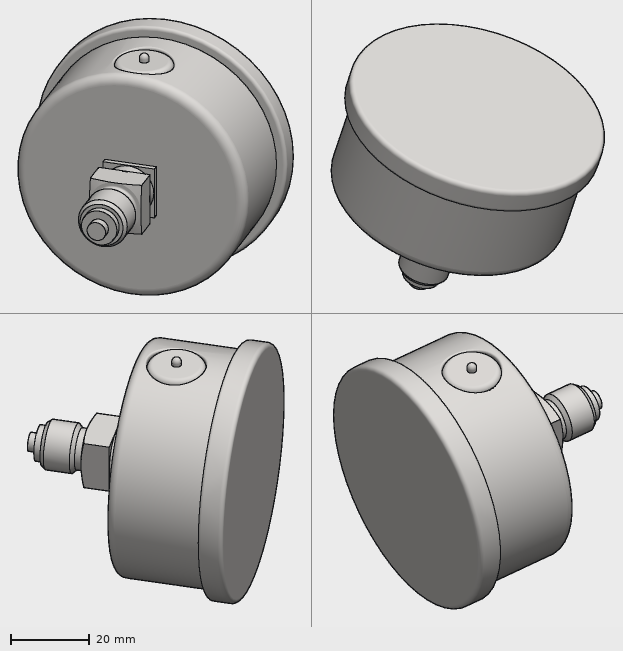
import cadquery as cq
import math


bezel_diameter = 67.4
bezel_front_y = 31.25
bezel_width = 6.55
bezel_front_fillet = 1.2
bezel_back_fillet = 0.95
case_diameter = 62.0
case_fillet = 2.5

plug_y = 11.0
plug_diameter = 15.2
plug_top_z = 30.8
plug_fillet = 1.5
plug_seat_depth = 2.7
plug_rim_fillet = 0.5
plug_pin_diameter = 2.5
plug_pin_top_z = 32.9
plug_foot_depth = 0.7
rim_margin = 0.2

square_side = 13.8
plate_end = 1.5
neck_diameter = 13.5
square_start = 5.0
square_end = 12.45
square_face_diameter = 13.75
square_chamfer_slope = 0.27
undercut_diameter = 11.0
undercut_fillet = 0.55
undercut_end = 14.5
thread_diameter = 13.15
thread_back_chamfer = 1.1
thread_end_chamfer_length = 1.1
thread_end_chamfer_depth = 0.8
thread_end = 23.45
spigot_diameter = 9.5
spigot_end = 25.3
tip_diameter = 5.0
tip_end = 27.55


def back_plane(distance):
    """Workplane facing -Y at a distance behind the case."""
    return cq.Workplane("XZ", origin=(0, -distance, 0))


def cylinder(diameter, start, end):
    return back_plane(start).circle(diameter / 2).extrude(end - start)


def square_block(start, end):
    return back_plane(start).rect(square_side, square_side).extrude(end - start)


def plug_cylinder(diameter, bottom_z, top_z):
    """Upright cylinder on the axis of the relief plug."""
    base = cq.Workplane("XY", origin=(0, plug_y, bottom_z))
    return base.circle(diameter / 2).extrude(top_z - bottom_z)


def make_housing():
    bezel_back_y = bezel_front_y - bezel_width
    bezel = cylinder(bezel_diameter, -bezel_front_y, -bezel_back_y)
    bezel = bezel.faces(">Y").edges().fillet(bezel_front_fillet)
    bezel = bezel.faces("<Y").edges().fillet(bezel_back_fillet)
    case = cylinder(case_diameter, -bezel_front_y + bezel_width / 2, 0)
    case = case.faces("<Y").edges().fillet(case_fillet)
    return bezel.union(case)


def add_plug(housing):
    seat_z = case_diameter / 2 - plug_seat_depth
    hole = plug_cylinder(plug_diameter, seat_z, bezel_diameter / 2)
    rim_zone = cq.selectors.BoxSelector(
        (-plug_diameter, plug_y - plug_diameter / 2 - rim_margin, seat_z + rim_margin),
        (plug_diameter, plug_y + plug_diameter / 2 + rim_margin, case_diameter / 2 + rim_margin),
        boundingbox=True,
    )
    housing = housing.cut(hole).edges(rim_zone).fillet(plug_rim_fillet)
    plug = plug_cylinder(plug_diameter, seat_z - plug_foot_depth, plug_top_z)
    plug = plug.faces(">Z").edges().fillet(plug_fillet)
    pin_radius = plug_pin_diameter / 2
    dome_z = plug_pin_top_z - pin_radius
    pin = plug_cylinder(plug_pin_diameter, seat_z, dome_z)
    dome = cq.Workplane("XY", origin=(0, plug_y, dome_z)).sphere(pin_radius)
    return housing.union(plug).union(pin.union(dome))


def make_wrench_square():
    """Square block whose outer corners are turned down by a shallow cone."""
    end_radius = square_face_diameter / 2
    corner_radius = square_side
    rise = (corner_radius - end_radius) * square_chamfer_slope
    cone = (
        cq.Workplane("XY")
        .moveTo(0, -square_start)
        .lineTo(corner_radius, -square_start)
        .lineTo(corner_radius, -square_end + rise)
        .lineTo(end_radius, -square_end)
        .lineTo(0, -square_end)
        .close()
        .revolve(360, (0, 0, 0), (0, 1, 0))
    )
    return square_block(square_start, square_end).intersect(cone)


def make_undercut():
    """Undercut shaft that flares into the end of the square with a concave fillet."""
    radius = undercut_diameter / 2
    flare_radius = radius + undercut_fillet
    flare_end = square_end + undercut_fillet
    arc_inset = undercut_fillet * (1 - math.sqrt(0.5))
    return (
        cq.Workplane("XY")
        .moveTo(0, -square_start)
        .lineTo(flare_radius, -square_start)
        .lineTo(flare_radius, -square_end)
        .threePointArc((radius + arc_inset, -square_end - arc_inset), (radius, -flare_end))
        .lineTo(radius, -thread_end)
        .lineTo(0, -thread_end)
        .close()
        .revolve(360, (0, 0, 0), (0, 1, 0))
    )


def make_connector():
    thread = cylinder(thread_diameter, undercut_end, thread_end)
    thread = thread.faces(">Y").edges().chamfer(thread_back_chamfer)
    end_edge = thread.faces("<Y").edges()
    thread = end_edge.chamfer(thread_end_chamfer_length, thread_end_chamfer_depth)
    return (
        square_block(0, plate_end)
        .union(cylinder(neck_diameter, 0, square_start))
        .union(make_wrench_square())
        .union(make_undercut())
        .union(thread)
        .union(cylinder(spigot_diameter, thread_end, spigot_end))
        .union(cylinder(tip_diameter, spigot_end, tip_end))
    )


result = add_plug(make_housing()).union(make_connector())